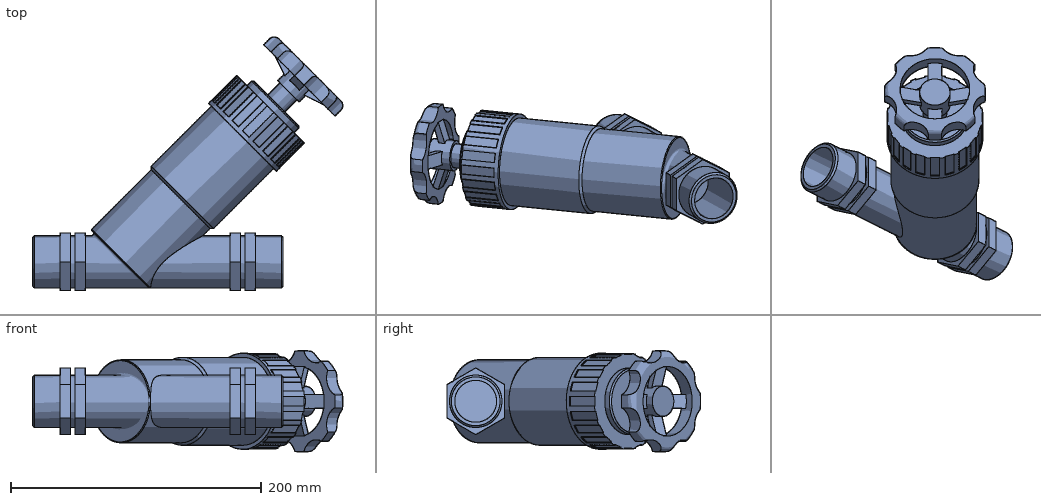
import cadquery as cq
import math

pipe_length = 200.3
pipe_diameter = 42.0
bore_diameter = 33.5
bore_depth = 49.6
pipe_chamfer = 1.5

hex_corner_diameter = 53.4
hex_width = 8.5
hex_starts = (22.0, 33.8, 157.8, 169.8)

tilt = 45.0
body_base = (70.2, 2.0, 0)
lower_diameter = 66.5
lower_length = 68.0
lower_chamfer = 0.7
base_fillet = 1.7
upper_diameter = 70.5
upper_length = 70.0

nut_diameter = 77.0
nut_length = 31.8
groove_count = 20
groove_width = 7.5
groove_depth = 1.0
nut_rim_height = 3.7

cap_diameter = 53.4
cap_length = 6.5
cap_chamfer = 1.2
spindle_diameter = 19.4
spindle_length = 13.6

hub_diameter = 24.3
hub_length = 19.0
hub_below_rim = 12.5
wheel_radius = 40.5
rim_inner_radius = 27.8
rim_height = 12.0
rim_fillet = 5.2
lobe_count = 8
lobe_width = 10.5
scallop_floor_radius = 34.5
spoke_count = 4
spoke_width = 11.2
spoke_thickness = 5.2
spoke_drop = 5.2

upper_start = lower_length
nut_start = upper_start + upper_length
cap_start = nut_start + nut_length
spindle_start = cap_start + cap_length
hub_start = spindle_start + spindle_length
rim_start = hub_start + hub_below_rim


def disc(diameter, start, length):
    """Cylinder standing on the Z axis at a given height."""
    return cq.Workplane("XY").workplane(offset=start).circle(diameter / 2).extrude(length)


def around_axis(shape, count):
    """Copies of a shape spaced evenly around the Z axis."""
    combined = shape
    for i in range(1, count):
        combined = combined.union(shape.rotate((0, 0, 0), (0, 0, 1), i * 360 / count))
    return combined


def make_pipe():
    pipe = cq.Workplane("YZ").circle(pipe_diameter / 2).extrude(pipe_length)
    pipe = pipe.edges().chamfer(pipe_chamfer)
    for start in hex_starts:
        collar = (
            cq.Workplane("YZ", origin=(start, 0, 0))
            .polygon(6, hex_corner_diameter)
            .extrude(hex_width)
            .rotate((0, 0, 0), (1, 0, 0), 90)
        )
        pipe = pipe.union(collar)
    return pipe


def make_bores():
    """Blind bores entering from both pipe ends."""
    near = cq.Workplane("YZ").circle(bore_diameter / 2).extrude(bore_depth)
    far = near.translate((pipe_length - bore_depth, 0, 0))
    return near.union(far)


def make_nut():
    nut = disc(nut_diameter, nut_start, nut_length)
    groove = cq.Workplane("XY").box(
        2 * groove_depth, groove_width, nut_length - nut_rim_height, centered=(True, True, False)
    )
    groove = groove.translate((nut_diameter / 2, 0, nut_start + nut_rim_height))
    return nut.cut(around_axis(groove, groove_count))


def make_rim():
    """Wheel rim with a rounded top edge and scallops between its lobes."""
    fillet_center = (wheel_radius - rim_fillet, rim_start + rim_height - rim_fillet)
    diagonal = rim_fillet * math.sqrt(0.5)
    rim = (
        cq.Workplane("XZ")
        .moveTo(rim_inner_radius, rim_start)
        .lineTo(wheel_radius, rim_start)
        .lineTo(wheel_radius, fillet_center[1])
        .threePointArc(
            (fillet_center[0] + diagonal, fillet_center[1] + diagonal),
            (fillet_center[0], rim_start + rim_height),
        )
        .lineTo(rim_inner_radius, rim_start + rim_height)
        .close()
        .revolve(360, (0, 0), (0, 1))
    )
    half_gap = math.pi / lobe_count - math.asin(lobe_width / 2 / wheel_radius)
    half_chord = wheel_radius * math.sin(half_gap)
    sagitta = wheel_radius * math.cos(half_gap) - scallop_floor_radius
    scallop_radius = (half_chord**2 + sagitta**2) / (2 * sagitta)
    scallop = disc(2 * scallop_radius, rim_start, rim_height)
    scallop = scallop.translate((scallop_floor_radius + scallop_radius, 0, 0))
    scallop = scallop.rotate((0, 0, 0), (0, 0, 1), 180 / lobe_count)
    return rim.cut(around_axis(scallop, lobe_count))


def make_spokes():
    """Flat spokes that drop from the rim to the hub."""
    overlap = 2.5
    inner = hub_diameter / 2
    slope = spoke_drop / (rim_inner_radius - inner)
    inner_end = inner - overlap
    outer_end = rim_inner_radius + overlap
    spoke = (
        cq.Workplane("XZ")
        .moveTo(inner_end, rim_start - spoke_drop - slope * overlap)
        .lineTo(rim_inner_radius, rim_start)
        .lineTo(outer_end, rim_start)
        .lineTo(outer_end, rim_start + spoke_thickness)
        .lineTo(rim_inner_radius, rim_start + spoke_thickness)
        .lineTo(inner_end, rim_start + spoke_thickness - spoke_drop - slope * overlap)
        .close()
        .extrude(spoke_width / 2, both=True)
    )
    return around_axis(spoke, spoke_count)


def make_upper_parts():
    """Everything above the lower body, built upright along Z."""
    upper = disc(upper_diameter, upper_start, upper_length)
    step = (upper_diameter - lower_diameter) / 2
    upper = upper.faces("<Z").edges().chamfer(step)
    cap = disc(cap_diameter, cap_start, cap_length).faces(">Z").edges().chamfer(cap_chamfer)
    spindle = disc(spindle_diameter, spindle_start, spindle_length)
    hub = disc(hub_diameter, hub_start, hub_length)
    parts = upper
    for piece in (make_nut(), cap, spindle, hub, make_spokes(), make_rim()):
        parts = parts.union(piece)
    return parts


def lean(upright):
    """Lay an upright shape along X, swing it towards Y and move it to the body base."""
    lying = upright.rotate((0, 0, 0), (0, 1, 0), 90)
    return lying.rotate((0, 0, 0), (0, 0, 1), tilt).translate(body_base)


def make_junction():
    """Pipe and lower body, with a fillet where the pipe meets the body's flat base."""
    junction = make_pipe().union(lean(disc(lower_diameter, 0, lower_length)))
    junction = junction.edges("%ELLIPSE").fillet(base_fillet)
    base_edge = cq.selectors.NearestToPointSelector(body_base)
    return junction.edges(base_edge).chamfer(lower_chamfer)


result = make_junction().union(lean(make_upper_parts())).cut(make_bores())